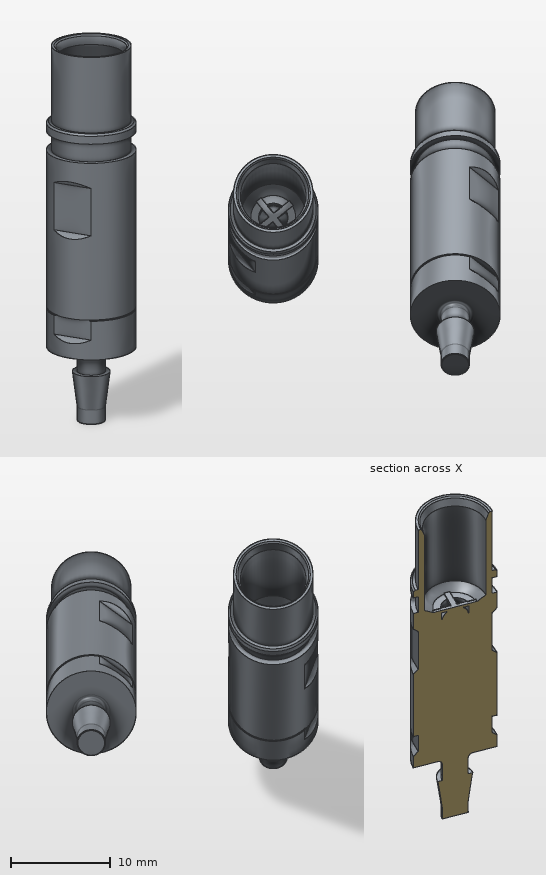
import cadquery as cq

total_height = 39.5
flange_top = 31.55
flange_bottom = 30.55
body_top = 28.5
collar_top = 12.0
body_bottom = 7.82

body_radius = 4.5
tube_radius = 4.0
flange_chamfer = 0.2
seam_width = 0.1
seam_depth = 0.08

flat_offset = 4.0
flat_depth = body_radius - flat_offset
upper_flat_bottom = 20.9
upper_flat_top = 25.87
lower_flat_bottom = 9.9

stem_radius = 1.42
barb_radius = 1.9
barb_top = 5.2
barb_bottom = 1.55
stem_fillet = 0.47
tip_chamfer = 0.08

mouth_radius = 3.7
mouth_chamfer = 0.15
bore_radius = 3.28
taper_depth = 1.0
funnel_top = body_top
floor_radius = 2.25
funnel_depth = 0.65
floor_level = funnel_top - funnel_depth

well_radius = 1.45
well_floor = floor_level - well_radius
cross_width = 0.65
cross_rise = 0.08
cross_thickness = 0.4


def revolve_profile(points):
    """Revolve a closed (radius, height) outline about Z."""
    return cq.Workplane("XZ").polyline(points).close().revolve(360, (0, 0, 0), (0, 1, 0))


def make_body():
    """Tube, flange and grooved main barrel."""
    seam_radius = body_radius - seam_depth
    return revolve_profile([
        (0, body_bottom),
        (body_radius, body_bottom),
        (body_radius, collar_top - seam_width),
        (seam_radius, collar_top - seam_width),
        (seam_radius, collar_top),
        (body_radius, collar_top),
        (body_radius, body_top),
        (tube_radius, body_top),
        (tube_radius, flange_bottom),
        (body_radius, flange_bottom),
        (body_radius, flange_top - flange_chamfer),
        (body_radius - flange_chamfer, flange_top),
        (tube_radius, flange_top),
        (tube_radius, total_height),
        (0, total_height),
    ])


def make_hose_barb():
    """Stem with one tapered barb and a concave fillet at its root."""
    outline = (
        cq.Workplane("XZ")
        .lineTo(stem_radius - tip_chamfer, 0)
        .lineTo(stem_radius, tip_chamfer)
        .lineTo(stem_radius, barb_bottom)
        .lineTo(barb_radius, barb_top)
        .lineTo(stem_radius, barb_top)
        .lineTo(stem_radius, body_bottom - stem_fillet)
        .radiusArc((stem_radius + stem_fillet, body_bottom), stem_fillet)
        .lineTo(0, body_bottom)
        .close()
    )
    return outline.revolve(360, (0, 0, 0), (0, 1, 0))


def make_bore():
    """Chamfered mouth, tapered lead-in, straight bore, funnel and well."""
    return revolve_profile([
        (0, total_height),
        (mouth_radius, total_height),
        (mouth_radius - mouth_chamfer, total_height - mouth_chamfer),
        (bore_radius, total_height - taper_depth),
        (bore_radius, funnel_top),
        (floor_radius, floor_level),
        (well_radius, floor_level),
        (well_radius, well_floor),
        (0, well_floor),
    ])


def make_flat_cut(bottom, top, top_slope):
    """Pair of cuts on -Y and +Y; top_slope is the run of the upper sloped end."""
    cut = (
        cq.Workplane("YZ")
        .polyline([
            (flat_offset, bottom),
            (body_radius, bottom - flat_depth),
            (body_radius, top + top_slope),
            (flat_offset, top),
        ])
        .close()
        .extrude(body_radius, both=True)
    )
    return cut.union(cut.mirror("XZ"))


def make_valve():
    """Ball dome resting in the well, with the cross over it."""
    ball = cq.Workplane("XY").sphere(well_radius).translate((0, 0, well_floor))
    dome = ball.intersect(
        cq.Workplane("XY").workplane(offset=well_floor).circle(well_radius).extrude(well_radius)
    )
    cross_top = floor_level + cross_rise
    cross_length = 2 * (floor_radius + cross_rise)
    bars = cq.Workplane("XY").workplane(offset=cross_top - cross_thickness)
    cross = bars.rect(cross_length, cross_width).extrude(cross_thickness)
    cross = cross.union(bars.rect(cross_width, cross_length).extrude(cross_thickness))
    return dome.union(cross)


result = (
    make_body()
    .union(make_hose_barb())
    .cut(make_bore())
    .cut(make_flat_cut(upper_flat_bottom, upper_flat_top, flat_depth))
    .cut(make_flat_cut(lower_flat_bottom, collar_top, 0))
    .union(make_valve())
)